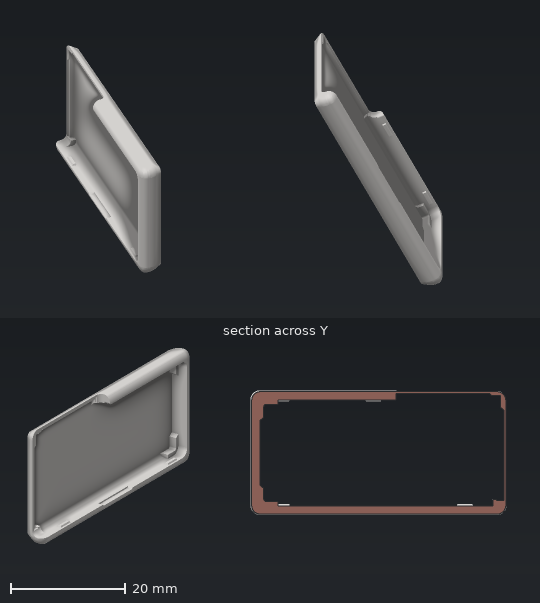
import cadquery as cq
import math

LENGTH = 44.82
DEPTH = 4.01
HEIGHT = 21.82
CORNER_RADIUS = 1.72
FRONT_Y = -DEPTH / 2
BACK_Y = DEPTH / 2
FRONT_EDGE_RADIUS = 1.0
FRONT_SOFT_RADIUS = 1.83
SIDE_ARC_RADIUS = 2.5
SIDE_ARC_START_Y = -0.35
SIDE_ARC_END_Y = 0.98
BACK_INSET = 0.95
HALF_LENGTH = LENGTH / 2
HALF_HEIGHT = HEIGHT / 2

RIM_WIDTH = 1.68
FLOOR_Y = 1.3
FLOOR_FILLET = 0.78
CAVITY_RIGHT = HALF_LENGTH - RIM_WIDTH
CAVITY_TOP = HALF_HEIGHT - RIM_WIDTH
CAVITY_LEFT = -20.63
CAVITY_CORNER = 1.45

WIDE_FILLET = 0.65
WIDE_LEFT = CAVITY_LEFT - WIDE_FILLET
WIDE_TOP = 9.95
WIDE_RIGHT = -3.27
WIDE_BOTTOM = -8.3

LOW_RIM_Y = 0.34
LOW_RIM_RIGHT = -2.34
LOW_RIM_FILLET = 1.12
WEB_RIGHT = -19.93
WALL_TIP_ROUND = 0.35

STEP_DEPTH = 0.28
STEP_FILLET = 0.2
STEP_END_CHAMFER = 0.43
LEFT_STEP_WIDTH = 0.59
LEFT_STEP_TOP = 7.8
TOP_STEP_WIDTH = 0.43
TOP_STEP_LEFT = -19.75
TOP_STEP_RIGHT = -3.1

PAD_Y = -0.1
PAD_EMBED = 0.4
PAD_SIDE_WIDTH = 0.67
PAD_LEFT = 17.6
PAD_END_FILLET = 0.65
PAD_END_Z = 5.65
PAD_END_CHAMFER = 0.52
PAD_INNER_ROUND = 0.4

RIDGE_LENGTH = 2.8
RIDGE_WIDTH = 0.76
RIDGE_HEIGHT = 0.28
RIDGE_SLOPE = 0.12
RIDGE_Y = -1.25
BOTTOM_RIDGES_X = (-15.1, 16.9)
TOP_RIDGES_X = (0.9, 16.9)

NOTCH_LENGTH = 8.9
NOTCH_DEPTH = 0.27
NOTCH_BACK_Y = -1.03

OVERCUT = 2.0


def block(x_range, y_range, z_range):
    """Box spanning three (low, high) ranges."""
    spans = [high - low for low, high in (x_range, y_range, z_range)]
    corner = (x_range[0], y_range[0], z_range[0])
    return cq.Workplane("XY").box(*spans, centered=False).translate(corner)


def front_plane(y):
    """Plane at depth y whose local axes are X and Z and whose normal is -Y."""
    return cq.Workplane("XZ", origin=(0, y, 0))


def edge_at(body, center):
    """Edge of body whose center is nearest to a point."""
    return body.edges(cq.selectors.NearestToPointSelector(center))


def outer_shell():
    """Solid envelope: a bulged side profile carried around a rounded rectangle."""
    arc_angle = math.asin((SIDE_ARC_END_Y - SIDE_ARC_START_Y) / SIDE_ARC_RADIUS)

    def arc_point(angle):
        inset = SIDE_ARC_RADIUS * (1 - math.cos(angle))
        return (inset - HALF_LENGTH, SIDE_ARC_START_Y + SIDE_ARC_RADIUS * math.sin(angle))

    run = math.sqrt(0.5)
    rise = 1 - run
    inner_x = RIM_WIDTH - HALF_LENGTH
    round_start_x = FRONT_SOFT_RADIUS * run + FRONT_EDGE_RADIUS * rise - HALF_LENGTH
    round_mid = (FRONT_EDGE_RADIUS * rise - HALF_LENGTH, FRONT_Y + FRONT_SOFT_RADIUS * rise)
    round_end = (-HALF_LENGTH, round_mid[1] + FRONT_EDGE_RADIUS * run)
    profile = (
        cq.Workplane("XY")
        .moveTo(inner_x, FRONT_Y)
        .lineTo(round_start_x, FRONT_Y)
        .tangentArcPoint(round_mid, relative=False)
        .tangentArcPoint(round_end, relative=False)
        .lineTo(-HALF_LENGTH, SIDE_ARC_START_Y)
        .threePointArc(arc_point(arc_angle / 2), arc_point(arc_angle))
        .lineTo(BACK_INSET - HALF_LENGTH, BACK_Y)
        .lineTo(inner_x, BACK_Y)
        .close()
    )
    straight_x = HALF_LENGTH - CORNER_RADIUS
    straight_z = HALF_HEIGHT - CORNER_RADIUS
    bend = CORNER_RADIUS * math.sqrt(0.5)
    path = (
        front_plane(0)
        .moveTo(-HALF_LENGTH, 0)
        .lineTo(-HALF_LENGTH, straight_z)
        .threePointArc((-straight_x - bend, straight_z + bend), (-straight_x, HALF_HEIGHT))
        .lineTo(straight_x, HALF_HEIGHT)
        .threePointArc((straight_x + bend, straight_z + bend), (HALF_LENGTH, straight_z))
        .lineTo(HALF_LENGTH, -straight_z)
        .threePointArc((straight_x + bend, -straight_z - bend), (straight_x, -HALF_HEIGHT))
        .lineTo(-straight_x, -HALF_HEIGHT)
        .threePointArc((-straight_x - bend, -straight_z - bend), (-HALF_LENGTH, -straight_z))
        .close()
    )
    border = profile.sweep(path)
    core = (
        front_plane(BACK_Y)
        .rect(LENGTH - 2 * RIM_WIDTH, HEIGHT - 2 * RIM_WIDTH)
        .extrude(DEPTH)
    )
    return core.union(border)


def cavity():
    """Main cavity with filleted top and bottom edges, plus its wider left part."""
    y_range = (FRONT_Y - OVERCUT, FLOOR_Y)
    main = block((CAVITY_LEFT, CAVITY_RIGHT), y_range, (-CAVITY_TOP, CAVITY_TOP))
    main = main.edges("|X and >Y").fillet(FLOOR_FILLET)
    corners = (
        front_plane(FLOOR_Y)
        .rect(2 * CAVITY_RIGHT, 2 * CAVITY_TOP)
        .extrude(FLOOR_Y - FRONT_Y + OVERCUT)
        .edges("|Y and >X")
        .fillet(CAVITY_CORNER)
    )
    wide = block((WIDE_LEFT, WIDE_RIGHT), y_range, (WIDE_BOTTOM, WIDE_TOP))
    wide = wide.edges("(|X and >Y and >Z) or (|Z and >Y and <X)").fillet(WIDE_FILLET)
    return main.intersect(corners).union(wide)


def low_rim_cut():
    """Space over the lowered rim, blended into the remaining walls."""
    cut = block(
        (-HALF_LENGTH - OVERCUT, LOW_RIM_RIGHT),
        (FRONT_Y - OVERCUT, LOW_RIM_Y),
        (-CAVITY_TOP, HALF_HEIGHT + OVERCUT),
    )
    return cut.edges("(|Z and >Y and >X) or (|X and >Y and <Z)").fillet(LOW_RIM_FILLET)


def wall_tip_cut():
    """Sliver that rounds the free lower corner of the top wall."""
    reach = (FRONT_Y - OVERCUT, LOW_RIM_Y - LOW_RIM_FILLET)
    center_x = LOW_RIM_RIGHT + WALL_TIP_ROUND
    center_z = CAVITY_TOP + WALL_TIP_ROUND
    square = block((LOW_RIM_RIGHT, center_x), reach, (CAVITY_TOP, center_z))
    rounded = (
        front_plane(reach[1])
        .center(center_x, center_z)
        .circle(WALL_TIP_ROUND)
        .extrude(reach[1] - reach[0])
    )
    return square.cut(rounded)


def corner_web():
    """Fill in the bottom-left cavity corner, later trimmed by the low rim cut."""
    return block(
        (CAVITY_LEFT, WEB_RIGHT),
        (LOW_RIM_Y - LOW_RIM_FILLET, FLOOR_Y),
        (-CAVITY_TOP, LOW_RIM_FILLET - CAVITY_TOP),
    )


def rim_steps():
    """Shallow steps along the left and top inner edges of the lowered rim."""
    y_range = (FRONT_Y, LOW_RIM_Y + STEP_DEPTH)
    left = block(
        (WIDE_LEFT - LEFT_STEP_WIDTH, CAVITY_LEFT), y_range, (WIDE_BOTTOM, LEFT_STEP_TOP)
    )
    left = left.edges("|Y and <X and >Z").chamfer(STEP_END_CHAMFER)
    left = left.edges("|Z and >Y and <X").fillet(STEP_FILLET)
    top = block(
        (TOP_STEP_LEFT, TOP_STEP_RIGHT),
        y_range,
        (CAVITY_TOP, WIDE_TOP + TOP_STEP_WIDTH),
    )
    top = top.edges("|Y and <X and >Z").chamfer(STEP_END_CHAMFER)
    top = top.edges("|X and >Y and >Z").fillet(STEP_FILLET)
    return left.union(top)


def corner_pad(side):
    """L-shaped pad in the top (side=1) or bottom (side=-1) right cavity corner."""
    pad_height = FLOOR_Y - PAD_Y
    inner_x = CAVITY_RIGHT - PAD_SIDE_WIDTH
    inner_z = CAVITY_TOP - FLOOR_FILLET
    wall_x = CAVITY_RIGHT + PAD_EMBED
    wall_z = CAVITY_TOP + PAD_EMBED
    pad = (
        front_plane(FLOOR_Y)
        .moveTo(PAD_LEFT, side * wall_z)
        .lineTo(PAD_LEFT, side * inner_z)
        .lineTo(inner_x, side * inner_z)
        .lineTo(inner_x, side * (PAD_END_Z + PAD_END_CHAMFER))
        .lineTo(CAVITY_RIGHT, side * PAD_END_Z)
        .lineTo(wall_x, side * PAD_END_Z)
        .lineTo(wall_x, side * wall_z)
        .close()
        .extrude(pad_height)
    )
    corner = (inner_x, FLOOR_Y - pad_height / 2, side * inner_z)
    pad = edge_at(pad, corner).fillet(PAD_INNER_ROUND)
    foot_axis = (PAD_LEFT - PAD_END_FILLET, FLOOR_Y - PAD_END_FILLET)
    foot = block(
        (foot_axis[0], PAD_LEFT),
        (foot_axis[1], FLOOR_Y),
        sorted((side * inner_z, side * wall_z)),
    )
    hollow = (
        cq.Workplane("XY")
        .center(*foot_axis)
        .circle(PAD_END_FILLET)
        .extrude(HEIGHT, both=True)
    )
    return pad.union(foot.cut(hollow))


def snap_ridge(x, side):
    """Ridge with sloped flanks on the top (side=1) or bottom (side=-1) wall."""
    taper = math.degrees(math.atan(RIDGE_SLOPE / RIDGE_HEIGHT))
    ridge = (
        cq.Workplane("XY")
        .rect(RIDGE_LENGTH, RIDGE_WIDTH)
        .extrude(RIDGE_HEIGHT, taper=taper)
        .translate((0, 0, -CAVITY_TOP))
    )
    if side > 0:
        ridge = ridge.mirror("XY")
    return ridge.translate((x, RIDGE_Y, 0))


def pry_notch():
    """Notch with sloped ends in the front edge of the bottom wall."""
    half = NOTCH_LENGTH / 2
    return (
        front_plane(NOTCH_BACK_Y)
        .moveTo(-half, -CAVITY_TOP)
        .lineTo(NOTCH_DEPTH - half, -CAVITY_TOP - NOTCH_DEPTH)
        .lineTo(half - NOTCH_DEPTH, -CAVITY_TOP - NOTCH_DEPTH)
        .lineTo(half, -CAVITY_TOP)
        .close()
        .extrude(NOTCH_BACK_Y - FRONT_Y + OVERCUT)
    )


body = outer_shell().cut(cavity()).union(corner_web())
body = body.cut(low_rim_cut()).cut(rim_steps())
body = body.cut(wall_tip_cut())
for wall_side, ridge_positions in ((-1, BOTTOM_RIDGES_X), (1, TOP_RIDGES_X)):
    body = body.union(corner_pad(wall_side))
    for ridge_x in ridge_positions:
        body = body.union(snap_ridge(ridge_x, wall_side))
result = body.cut(pry_notch())